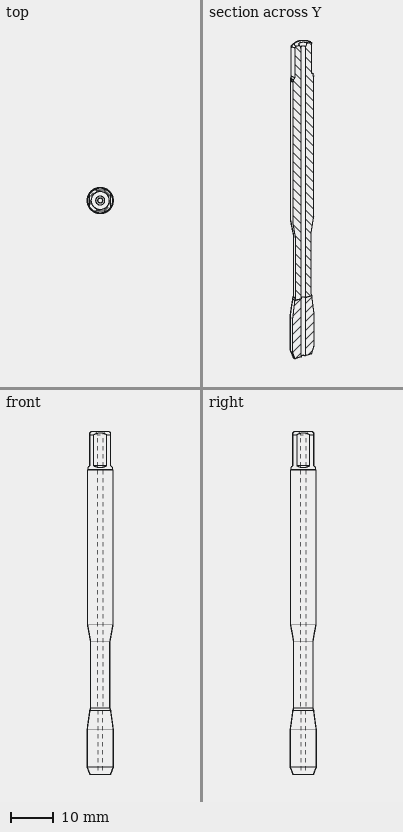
import cadquery as cq
import math

total_length = 80.0
lead_height = 1.75
head_cone_start = 10.5
head_top = 15.0
neck_bottom = 15.5
neck_top = 31.0
shank_bottom = 35.0
collar_bottom = 71.0
flat_bottom = 72.0

head_diameter = 6.14
lead_tip_diameter = 4.8
head_top_diameter = 4.9
neck_diameter = 4.55
shank_diameter = 6.0
drive_diameter = 5.76
top_face_diameter = 4.2
head_bore_diameter = 1.1
shank_bore_diameter = 1.2
center_mouth_diameter = 2.1

across_flats = 4.9
flat_count = 4

center_angle = 60.0

runout_angle = 45.0

top_chamfer_height = (drive_diameter - top_face_diameter) / 2
collar_height = (shank_diameter - drive_diameter) / 2


def turned_body(stations):
    """Revolve a solid about Z from (diameter, height) stations listed upward."""
    bottom = stations[0][1]
    top = stations[-1][1]
    outline = [(0, bottom)]
    outline += [(diameter / 2, height) for diameter, height in stations]
    outline.append((0, top))
    return cq.Workplane("XZ").polyline(outline).close().revolve(360, (0, 0), (0, 1))


def bore(diameter, bottom, top):
    """Cylinder on the tool axis that cuts the coolant channel."""
    return cq.Workplane("XY").workplane(offset=bottom).circle(diameter / 2).extrude(top - bottom)


def make_head():
    """Forming head: tapered lead, cylinder and cone up to the neck."""
    head = turned_body([
        (lead_tip_diameter, 0),
        (head_diameter, lead_height),
        (head_diameter, head_cone_start),
        (head_top_diameter, head_top),
    ])
    return head.cut(bore(head_bore_diameter, 0, head_top))


def make_flat_cutter():
    """Block that cuts the +X driving flat, with a sloped run-out at its lower end."""
    inner = across_flats / 2
    outer = shank_diameter / 2
    runout_drop = (outer - inner) * math.tan(math.radians(runout_angle))
    return (
        cq.Workplane("XZ")
        .polyline([
            (inner, flat_bottom),
            (outer, flat_bottom - runout_drop),
            (outer, total_length),
            (inner, total_length),
        ])
        .close()
        .extrude(outer, both=True)
    )


def make_center_hole():
    """Conical centre hole narrowing from the top face to the bore."""
    radial_step = (center_mouth_diameter - shank_bore_diameter) / 2
    depth = radial_step / math.tan(math.radians(center_angle / 2))
    return turned_body([
        (shank_bore_diameter, total_length - depth),
        (center_mouth_diameter, total_length),
    ])


def make_shank():
    """Neck, transition cone, cylindrical shank and square driving end."""
    shank = turned_body([
        (head_top_diameter, head_top),
        (neck_diameter, neck_bottom),
        (neck_diameter, neck_top),
        (shank_diameter, shank_bottom),
        (shank_diameter, collar_bottom),
        (drive_diameter, collar_bottom + collar_height),
        (drive_diameter, total_length - top_chamfer_height),
        (top_face_diameter, total_length),
    ])
    for index in range(flat_count):
        angle = index * 360 / flat_count
        shank = shank.cut(make_flat_cutter().rotate((0, 0, 0), (0, 0, 1), angle))
    shank = shank.cut(bore(shank_bore_diameter, head_top, total_length))
    return shank.cut(make_center_hole())


head = make_head()
shank = make_shank()

result = cq.Compound.makeCompound([head.val(), shank.val()])